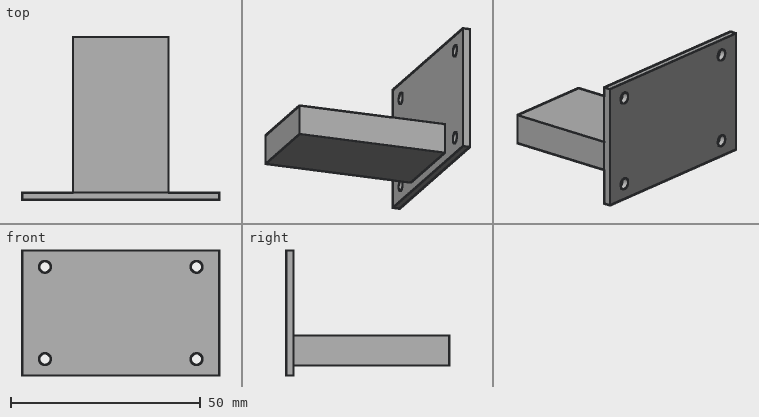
import cadquery as cq

plate_width = 52.0
plate_height = 33.0
plate_thickness = 2.0

overall_depth = 43.0
arm_width = 25.2
arm_height = 8.0
arm_bottom_offset = 2.6
arm_length = overall_depth - plate_thickness

hole_diameter = 3.0
hole_spacing_x = 40.0
hole_spacing_z = 24.35


def make_plate():
    """Plate with its front face at Y = 0, centred on X and Z."""
    plate = cq.Workplane("XY").box(
        plate_width, plate_thickness, plate_height, centered=(True, False, True)
    )
    return (
        plate.faces("<Y")
        .workplane(centerOption="CenterOfBoundBox")
        .rect(hole_spacing_x, hole_spacing_z, forConstruction=True)
        .vertices()
        .hole(hole_diameter)
    )


def make_arm():
    """Solid arm on the back face, near the bottom of the plate."""
    arm_bottom = -plate_height / 2 + arm_bottom_offset
    arm = cq.Workplane("XY").box(
        arm_width, arm_length, arm_height, centered=(True, False, False)
    )
    return arm.translate((0, plate_thickness, arm_bottom))


result = make_plate().union(make_arm())